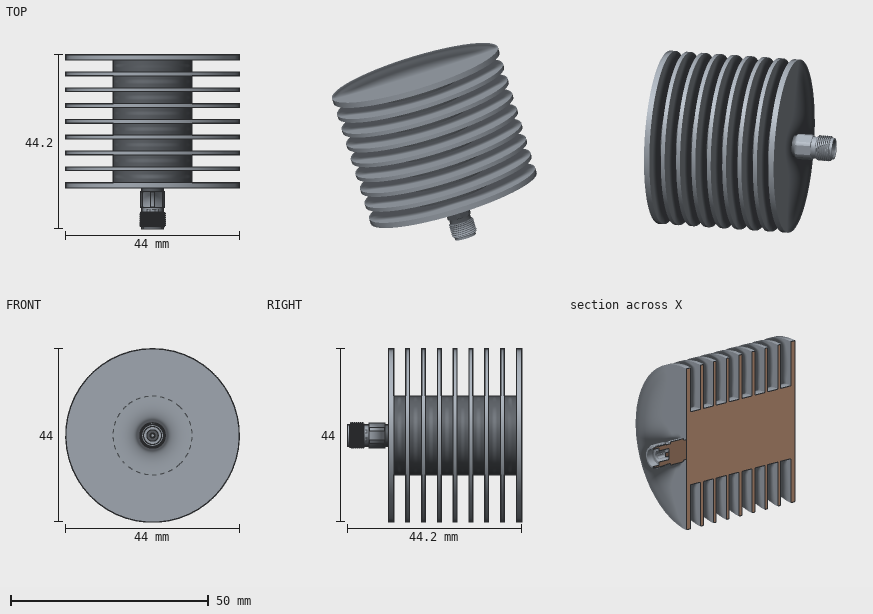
import cadquery as cq
import math


fin_diameter = 44.0
core_diameter = 20.0
inner_fin_count = 7
inner_fin_thickness = 1.0
end_fin_thickness = 1.4
fin_gap = 3.0
fin_pitch = inner_fin_thickness + fin_gap
sink_length = 2 * end_fin_thickness + inner_fin_count * fin_pitch + fin_gap

barrel_diameter = 5.5
hex_start = 0.8
hex_end = 4.95
thread_start = 6.1
thread_end = 9.8
shell_length = 10.4

hex_across_flats = 6.0
hex_corner_diameter = 6.45
hex_chamfer = 0.15

thread_diameter = 6.45
thread_pitch = 0.5
thread_depth = 0.4
thread_chamfer = 0.3
groove_root_width = 0.15
groove_mouth_width = 0.46
groove_overcut = 0.1
groove_runout = thread_pitch

mouth_diameter = 4.55
mouth_depth = 1.9
bore_diameter = 2.9
bore_depth = 5.0
contact_diameter = 1.27
contact_recess = 2.0
socket_diameter = 0.93
socket_depth = 2.0


def axial_cylinder(diameter, start, end):
    """Cylinder on the axis, between two distances forward of the heat sink face."""
    plane = cq.Plane(origin=(0, -start, 0), xDir=(-1, 0, 0), normal=(0, -1, 0))
    return cq.Workplane(plane).circle(diameter / 2).extrude(end - start)


def make_heat_sink():
    """Round core carrying two thick end fins and evenly spaced thin fins between them."""

    def disc(diameter, start, thickness):
        plane = cq.Plane(origin=(0, start, 0), xDir=(0, 0, 1), normal=(0, 1, 0))
        return cq.Workplane(plane).circle(diameter / 2).extrude(thickness)

    sink = disc(core_diameter, 0, sink_length)
    sink = sink.union(disc(fin_diameter, 0, end_fin_thickness))
    sink = sink.union(disc(fin_diameter, sink_length - end_fin_thickness, end_fin_thickness))
    first_fin = end_fin_thickness + fin_gap
    for index in range(inner_fin_count):
        sink = sink.union(disc(fin_diameter, first_fin + index * fin_pitch, inner_fin_thickness))
    return sink


def make_hex():
    """Hexagon with rounded corners; two of its flats face -X and +X."""
    flats = (
        cq.Workplane(cq.Plane(origin=(0, -hex_start, 0), xDir=(0, 0, 1), normal=(0, -1, 0)))
        .polygon(6, hex_across_flats / math.cos(math.pi / 6))
        .extrude(hex_end - hex_start)
    )
    round_blank = axial_cylinder(hex_corner_diameter, hex_start, hex_end)
    round_blank = round_blank.faces("<Y or >Y").edges().chamfer(hex_chamfer)
    return round_blank.intersect(flats)


def make_thread():
    """Chamfered band with a helical groove of trapezoid section."""
    band = axial_cylinder(thread_diameter, thread_start, thread_end)
    band = band.faces("<Y or >Y").edges().chamfer(thread_chamfer)
    root_radius = thread_diameter / 2 - thread_depth
    mouth_radius = thread_diameter / 2 + groove_overcut
    helix_length = thread_end - thread_start + 2 * groove_runout
    helix = cq.Wire.makeHelix(thread_pitch, helix_length, root_radius)
    groove = (
        cq.Workplane("XZ")
        .moveTo(root_radius, -groove_root_width / 2)
        .lineTo(mouth_radius, -groove_mouth_width / 2)
        .lineTo(mouth_radius, groove_mouth_width / 2)
        .lineTo(root_radius, groove_root_width / 2)
        .close()
        .sweep(cq.Workplane(helix), isFrenet=True)
    )
    groove = groove.rotate((0, 0, 0), (1, 0, 0), 90).translate((0, groove_runout - thread_start, 0))
    return band.cut(groove)


def make_shell():
    """Connector shell: barrel with hexagon and thread, bored in two steps from the front."""
    shell = axial_cylinder(barrel_diameter, 0, shell_length).union(make_hex()).union(make_thread())
    mouth_floor = shell_length - mouth_depth
    bore_floor = shell_length - bore_depth
    shell = shell.cut(axial_cylinder(mouth_diameter, mouth_floor, shell_length))
    return shell.cut(axial_cylinder(bore_diameter, bore_floor, mouth_floor))


def make_contact():
    """Socket contact standing on the floor of the shell's bore."""
    tip = shell_length - contact_recess
    contact = axial_cylinder(contact_diameter, shell_length - bore_depth, tip)
    return contact.cut(axial_cylinder(socket_diameter, tip - socket_depth, tip))


heat_sink = make_heat_sink()
shell = make_shell()
contact = make_contact()

result = cq.Compound.makeCompound([heat_sink.val(), shell.val(), contact.val()])